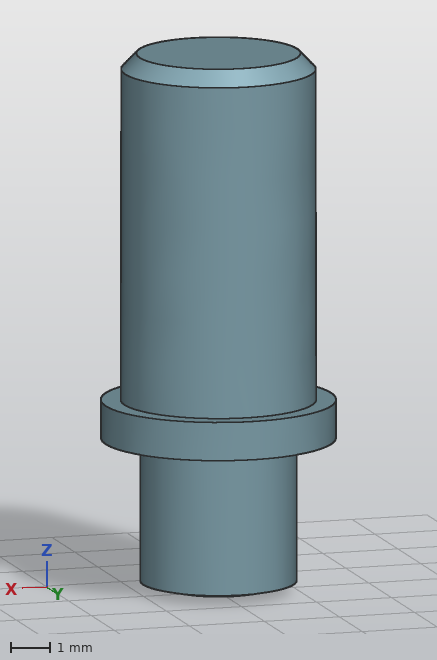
import cadquery as cq

total_length = 14.0

flange_diameter = 6.0
body_base_diameter = 5.0
body_top_diameter = 4.97
tail_diameter = 4.0

body_length = 9.0
flange_thickness = 1.0
dome_height = 0.3
chamfer_height = 0.4
chamfer_width = 0.39

flange_radius = flange_diameter / 2
body_base_radius = body_base_diameter / 2
body_top_radius = body_top_diameter / 2
tail_radius = tail_diameter / 2
flange_top = total_length - body_length
flange_bottom = flange_top - flange_thickness

dome_radius = (tail_radius**2 + dome_height**2) / (2 * dome_height)
mid_radius = tail_radius / 2
mid_height = dome_radius - (dome_radius**2 - mid_radius**2) ** 0.5

profile = (
    cq.Workplane("XZ")
    .moveTo(0, 0)
    .threePointArc((mid_radius, mid_height), (tail_radius, dome_height))
    .lineTo(tail_radius, flange_bottom)
    .lineTo(flange_radius, flange_bottom)
    .lineTo(flange_radius, flange_top)
    .lineTo(body_base_radius, flange_top)
    .lineTo(body_top_radius, total_length - chamfer_height)
    .lineTo(body_top_radius - chamfer_width, total_length)
    .lineTo(0, total_length)
    .close()
)
result = profile.revolve(360, (0, 0, 0), (0, 1, 0))